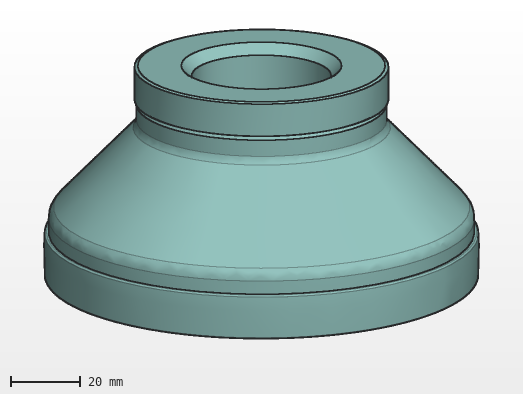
import cadquery as cq

BORE_D = 40.0
BORE_CHAMFER = 3.0
TOTAL_HEIGHT = 63.0

BASE_D = 125.0
BASE_HEIGHT = 13.1
BASE_CROWN = 0.2
BASE_EDGE_FILLET = 0.5

SHOULDER_D = 122.2
NECK_D = 72.0
CONE_BOTTOM_Z = 19.1
CONE_TOP_Z = 45.5
SHOULDER_FILLET = 5.0
NECK_FILLET = 3.4

COLLAR_D = 73.0
COLLAR_FACE_D = 71.0
COLLAR_BOTTOM_Z = 52.6
COLLAR_CHAMFER_HEIGHT = 0.4
NECK_CHAMFER_HEIGHT = 1.0

SELECTION_MARGIN = 0.1
OUTERMOST = cq.selectors.RadiusNthSelector(-1)


def revolve_profile(profile):
    """Turn a closed radius-height profile around the Z axis."""
    return profile.close().revolve(360, (0, 0, 0), (0, 1, 0))


def circle_at(body, z, radius):
    """Select the circular edges of a turned body at a height, up to a radius."""
    reach = radius + SELECTION_MARGIN
    lower_corner = (-reach, -reach, z - SELECTION_MARGIN)
    upper_corner = (reach, reach, z + SELECTION_MARGIN)
    box = cq.selectors.BoxSelector(lower_corner, upper_corner, boundingbox=True)
    return body.edges("%CIRCLE").edges(box)


def make_base():
    edge_radius = BASE_D / 2 - BASE_CROWN
    profile = (
        cq.Workplane("XZ")
        .moveTo(BORE_D / 2, 0)
        .lineTo(edge_radius, 0)
        .threePointArc((BASE_D / 2, BASE_HEIGHT / 2), (edge_radius, BASE_HEIGHT))
        .lineTo(BORE_D / 2, BASE_HEIGHT)
    )
    base = revolve_profile(profile)
    for z in (0, BASE_HEIGHT):
        base = circle_at(base, z, edge_radius).edges(OUTERMOST).fillet(BASE_EDGE_FILLET)
    return base


def make_housing():
    collar_chamfer_top_z = COLLAR_BOTTOM_Z + COLLAR_CHAMFER_HEIGHT
    profile = cq.Workplane("XZ").polyline([
        (BORE_D / 2, BASE_HEIGHT),
        (SHOULDER_D / 2, BASE_HEIGHT),
        (SHOULDER_D / 2, CONE_BOTTOM_Z),
        (NECK_D / 2, CONE_TOP_Z),
        (NECK_D / 2, COLLAR_BOTTOM_Z - NECK_CHAMFER_HEIGHT),
        (COLLAR_FACE_D / 2, COLLAR_BOTTOM_Z),
        (COLLAR_D / 2, collar_chamfer_top_z),
        (COLLAR_D / 2, TOTAL_HEIGHT - COLLAR_CHAMFER_HEIGHT),
        (COLLAR_FACE_D / 2, TOTAL_HEIGHT),
        (BORE_D / 2 + BORE_CHAMFER, TOTAL_HEIGHT),
        (BORE_D / 2, TOTAL_HEIGHT - BORE_CHAMFER),
    ])
    housing = revolve_profile(profile)
    housing = circle_at(housing, CONE_BOTTOM_Z, SHOULDER_D / 2).fillet(SHOULDER_FILLET)
    return circle_at(housing, CONE_TOP_Z, NECK_D / 2).fillet(NECK_FILLET)


base = make_base()
housing = make_housing()
result = cq.Compound.makeCompound([base.val(), housing.val()])